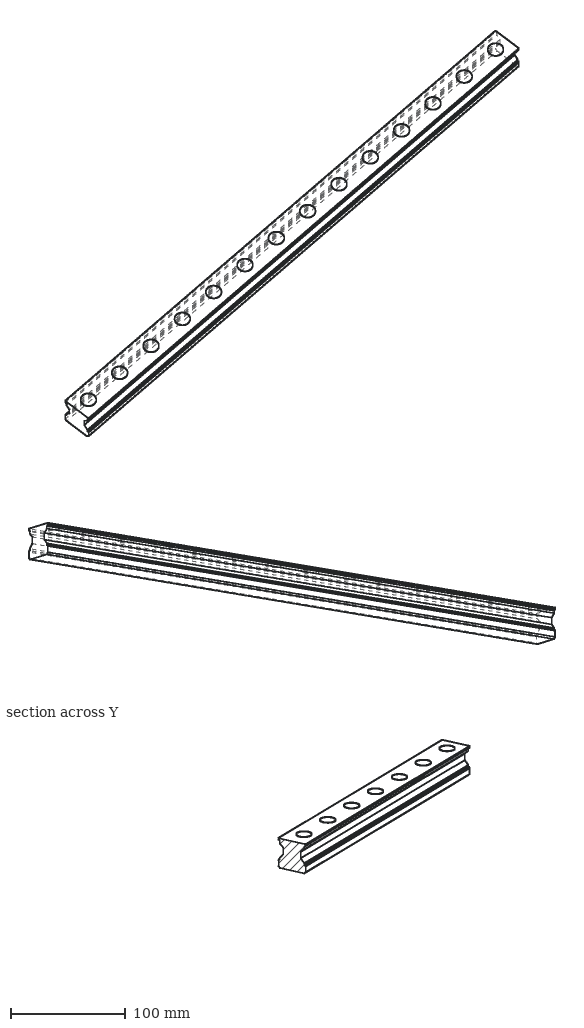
import cadquery as cq

length = 550.0
width = 28.0
height = 28.0

waist_width = 18.0
flank_width = 25.5
lip_bottom = 26.5
upper_step_top = 25.5
upper_step_bottom = 23.0
waist_top = 20.0
waist_bottom = 14.0
lower_step_top = 10.0
lower_step_bottom = 8.0
shoulder_bevel_width = 0.5
shoulder_bevel_height = 1.0
base_chamfer = 1.5

hole_count = 14
hole_end_margin = 15.0
hole_pitch = (length - 2 * hole_end_margin) / (hole_count - 1)
hole_diameter = 14.0
recess_depth = 0.5


def rail_profile():
    """Section outline: points down the right side, then the mirrored left side back up."""
    right_side = [
        (width / 2, height),
        (width / 2, lip_bottom),
        (flank_width / 2, upper_step_top),
        (flank_width / 2, upper_step_bottom),
        (waist_width / 2, waist_top),
        (waist_width / 2, waist_bottom),
        (flank_width / 2, lower_step_top),
        (flank_width / 2, lower_step_bottom),
        (width / 2 - shoulder_bevel_width, lower_step_bottom),
        (width / 2, lower_step_bottom - shoulder_bevel_height),
        (width / 2, base_chamfer),
        (width / 2 - base_chamfer, 0),
    ]
    left_side = [(-x, z) for x, z in reversed(right_side)]
    return right_side + left_side


rail = (
    cq.Workplane("XZ")
    .polyline(rail_profile())
    .close()
    .extrude(length / 2, both=True)
)

recesses = (
    cq.Workplane("XY", origin=(0, 0, height - recess_depth))
    .rarray(5.5, hole_pitch, 1, hole_count)
    .circle(hole_diameter / 2)
    .extrude(recess_depth)
)

result = rail.cut(recesses)